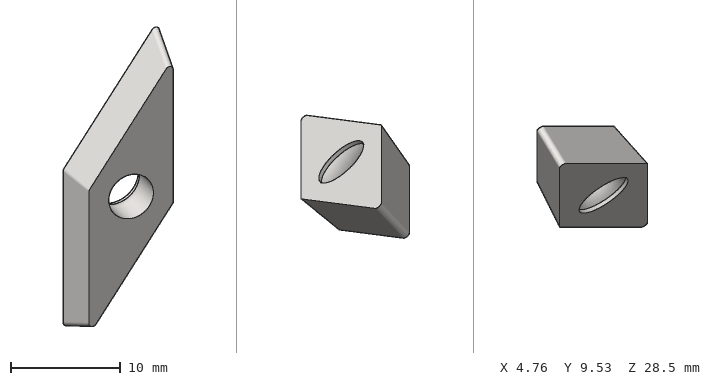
import cadquery as cq
import math

inscribed_diameter = 9.525
thickness = 4.76
point_angle = 35.0
clearance_angle = 7.0
nose_radius = 0.4

hole_diameter = 4.4
hole_mouth_diameter = 5.3
lip_depth = 0.4
flare_length = 1.4

large_face_x = -thickness / 2
small_face_x = thickness / 2


def rhombus_points(inscribed_radius):
    """Corners (y, z) of a rhombus with two sides parallel to Z."""
    half_angle = math.radians(point_angle / 2)
    acute_z = inscribed_radius / math.tan(half_angle)
    obtuse_z = inscribed_radius * math.tan(half_angle)
    return [
        (inscribed_radius, acute_z),
        (inscribed_radius, -obtuse_z),
        (-inscribed_radius, -acute_z),
        (-inscribed_radius, obtuse_z),
    ]


def insert_body():
    """Rhombic frustum with rounded corner edges."""
    large_radius = inscribed_diameter / 2
    small_radius = large_radius - thickness * math.tan(math.radians(clearance_angle))
    sharp_body = (
        cq.Workplane("YZ", origin=(large_face_x, 0, 0))
        .polyline(rhombus_points(large_radius))
        .close()
        .workplane(offset=thickness)
        .polyline(rhombus_points(small_radius))
        .close()
        .loft(ruled=True)
    )
    return sharp_body.edges("not #X").fillet(nose_radius)


def screw_hole():
    """Through hole: short straight lip at the large face, then an arc flare tangent to the bore."""
    bore_radius = hole_diameter / 2
    mouth_radius = hole_mouth_diameter / 2
    lip_end_x = large_face_x + lip_depth
    flare_end_x = lip_end_x + flare_length
    return (
        cq.Workplane("XZ")
        .moveTo(small_face_x, 0)
        .lineTo(small_face_x, -bore_radius)
        .lineTo(flare_end_x, -bore_radius)
        .tangentArcPoint((lip_end_x, -mouth_radius), relative=False)
        .lineTo(large_face_x, -mouth_radius)
        .lineTo(large_face_x, 0)
        .close()
        .revolve(360, (0, 0, 0), (1, 0, 0))
    )


result = insert_body().cut(screw_hole())